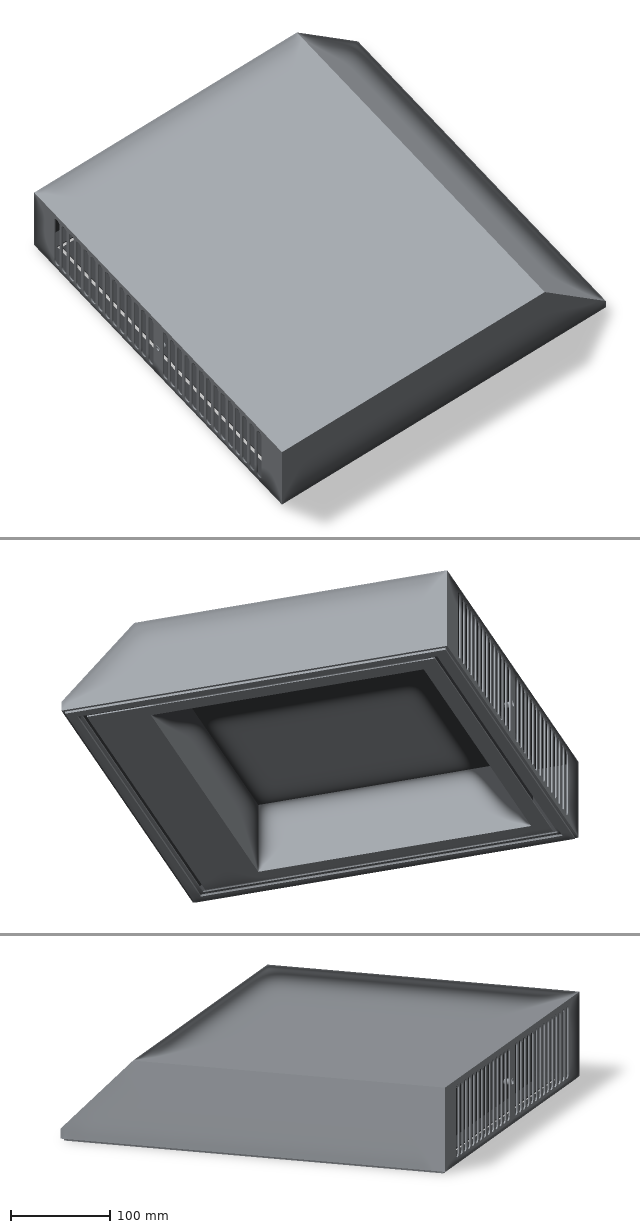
import cadquery as cq
SHEET = 1.5

WIDTH = 411.5
OVERALL_DEPTH = 410.5
HEIGHT = 90.0
NOSE_HEIGHT = 12.8
RIM_WIDTH = 16.5

SEAL_HEIGHT = 2.5
SEAL_INSET = 3.0
SEAL_WIDTH = 10.0

SLOT_WIDTH = 8.2
SLOT_HEIGHT = 75.3
SLOT_BOTTOM = 8.5
SLOTS_PER_BANK = 14
LAST_SLOT_OFFSET = 168.0

HEAD_DIAMETER = 7.0
HEAD_THICKNESS = 0.55
SHANK_DIAMETER = 6.0
SHANK_LENGTH = 8.2
BORE_DIAMETER = 5.0
BUSHING_CENTRE = 46.0

FLANGE_CLEARANCE = 3.5
FLANGE_WIDTH = 16.0
HOOD_BACK = 329.0
HOOD_TOP = 81.5

DEPTH = OVERALL_DEPTH - HEAD_THICKNESS
SLOT_PITCH = LAST_SLOT_OFFSET / SLOTS_PER_BANK
HOUSING_BOTTOM = SEAL_HEIGHT
RIM_TOP = HOUSING_BOTTOM + SHEET
TOP_DEPTH = DEPTH - (HEIGHT - NOSE_HEIGHT)
FLANGE_INSET = RIM_WIDTH + FLANGE_CLEARANCE
HOOD_INSET = FLANGE_INSET + FLANGE_WIDTH


def block(inset, back, bottom, top):
    """Upright block centred across X, inset from the front and both sides, reaching to the given back."""
    size = (WIDTH - 2 * inset, back - inset, top - bottom)
    return cq.Workplane("XY", origin=(0, inset, bottom)).box(*size, centered=(True, False, False))


def wedge(inset):
    """Solid with the shape of the housing, every side moved inward by the inset."""
    slope_shift = inset * (2**0.5 - 1)
    bottom = HOUSING_BOTTOM + inset
    top = HEIGHT - inset
    back = DEPTH - inset
    outline = [
        (inset, bottom),
        (back, bottom),
        (back, NOSE_HEIGHT - slope_shift),
        (TOP_DEPTH - slope_shift, top),
        (inset, top),
    ]
    left_side = cq.Workplane("YZ", origin=(inset - WIDTH / 2, 0, 0))
    return left_side.polyline(outline).close().extrude(WIDTH - 2 * inset)


def vent_slots():
    """Cutter for all the round-ended slots through the front wall."""
    middle = SLOT_BOTTOM + SLOT_HEIGHT / 2
    centres = []
    for number in range(1, SLOTS_PER_BANK + 1):
        offset = number * SLOT_PITCH
        centres += [(-offset, middle), (offset, middle)]
    return cq.Workplane("XZ").pushPoints(centres).slot2D(SLOT_HEIGHT, SLOT_WIDTH, 90).extrude(-SHEET)


def bushing_cylinder(diameter, start, end):
    """Cylinder on the bushing's axis between two depths behind the front face."""
    plane = cq.Workplane("XZ", origin=(0, start, BUSHING_CENTRE))
    return plane.circle(diameter / 2).extrude(start - end)


def make_housing():
    shell = wedge(0).cut(wedge(SHEET))
    opening = block(RIM_WIDTH, DEPTH - RIM_WIDTH, HOUSING_BOTTOM, RIM_TOP)
    bushing_hole = bushing_cylinder(SHANK_DIAMETER, 0, SHEET)
    return shell.cut(opening).cut(vent_slots()).cut(bushing_hole)


def make_bushing():
    head = bushing_cylinder(HEAD_DIAMETER, -HEAD_THICKNESS, 0)
    shank = bushing_cylinder(SHANK_DIAMETER, 0, SHANK_LENGTH)
    bore = bushing_cylinder(BORE_DIAMETER, -HEAD_THICKNESS, SHANK_LENGTH)
    return head.union(shank).cut(bore)


def make_hood():
    flange = block(FLANGE_INSET, DEPTH - FLANGE_INSET, HOUSING_BOTTOM, RIM_TOP)
    box = block(HOOD_INSET, HOOD_BACK, HOUSING_BOTTOM, HOOD_TOP)
    cavity = block(HOOD_INSET + SHEET, HOOD_BACK - SHEET, HOUSING_BOTTOM, HOOD_TOP - SHEET)
    return flange.union(box).cut(cavity)


def make_seal():
    inner_inset = SEAL_INSET + SEAL_WIDTH
    frame = block(SEAL_INSET, DEPTH - SEAL_INSET, 0, SEAL_HEIGHT)
    return frame.cut(block(inner_inset, DEPTH - inner_inset, 0, SEAL_HEIGHT))


housing = make_housing()
bushing = make_bushing()
hood = make_hood()
seal = make_seal()

result = cq.Compound.makeCompound([housing.val(), bushing.val(), hood.val(), seal.val()])